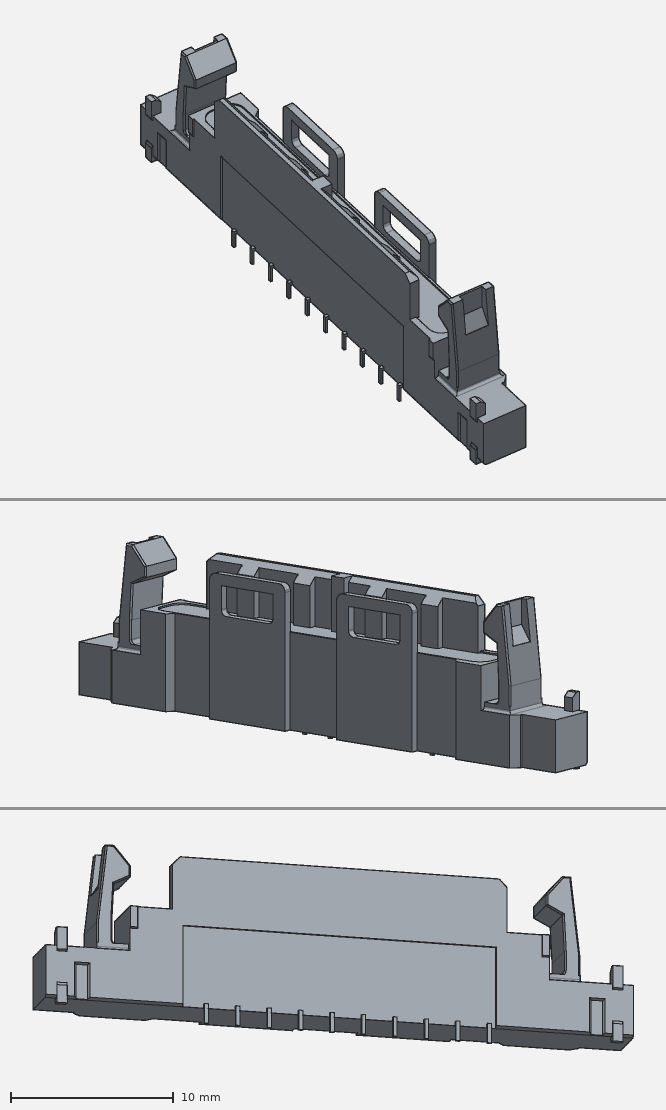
import cadquery as cq

half_length = 18.67
front_y = -1.85
back_y = 1.95
proud_front_y = -1.95
base_height = 3.33
shoulder_height = 6.15
wall_top = 9.52
bottom_front_chamfer = 0.16

end_back_y = 1.3
middle_back_y = 1.47
wing_outer_x = 16.05
wing_inner_x = 11.0
wing_step = 0.13
wing_chamfer = 0.35
wing_inner_chamfer_width = 0.38

shoulder_half_length = 13.33
floor_half_length = 12.94
floor_front_y = -1.38
floor_back_y = 1.3
floor_radius = 0.92
floor_z = shoulder_height - 0.1

ear_width = 0.48
ear_bottom = 4.74
ear_chamfer = 0.08

wall_half_length = 10.63
wall_corner_chamfer = 0.5
wall_flat_back_y = -1.53
wall_back_y = -1.18
rib_back_y = -0.7
rib_width = 1.32
rib_centers = (-7.2, -2.81, 2.81, 7.2)
key_width = 0.98

panel_half_length = 9.95
panel_height = 5.16
panel_depth = 0.15

loop_centers = (-4.98, 4.98)
loop_width = 5.93
loop_top = 9.22
loop_front_y = 1.42
loop_outer_radius = 0.5
window_side_margin = 0.94
window_top_margin = 0.72
window_bottom = 6.6
window_radius = 0.4

latch_outer_x = 15.36
latch_front_y = -1.55
latch_back_y = 1.62
latch_top = 10.06
latch_bend_z = 5.06
latch_tip_outer_x = 14.78
latch_tip_inner_x = 14.25
hook_x = 13.2
hook_upper_z = 8.83
hook_lower_z = 8.13
neck_x = 14.25
neck_z = 7.6
arm_inner_x = 14.37
arm_inner_z = 5.3
trough_z = 3.8
trough_radius = 0.28
latch_edge_chamfer = 0.1
root_fillet = 0.2
pocket_front_y = -0.73
pocket_back_y = 0.96
pocket_floor_x = 14.4
pocket_edge_x = 15.06
pocket_bend_z = 8.44
pocket_bottom_z = 7.43

peg_center_x = 17.66
peg_width = 0.64
upper_peg_top = 4.49
upper_peg_bottom = 2.98
upper_peg_back_y = -1.24
upper_peg_chamfer = 0.1
upper_peg_bevel_width = 0.36
upper_peg_bevel_height = 0.29
lower_peg_top = 0.98
lower_peg_bottom = -0.33
lower_peg_back_y = -1.38
lower_peg_bevel = 0.19
slot_center_x = 16.36
slot_width = 0.97
slot_height = 2.35
slot_depth = 0.12
slot_taper_angle = 45
pin_count = 10
pin_pitch = 2.0
first_pin_x = -8.5
pin_width = 0.25
pin_thickness = 0.15
pin_top = 0.24
pin_bottom = -1.0
pin_root_y = -1.5


def block(x_min, x_max, y_min, y_max, z_min, z_max):
    """Box given by its limits along each axis."""
    size = (x_max - x_min, y_max - y_min, z_max - z_min)
    return cq.Workplane("XY").box(*size, centered=False).translate((x_min, y_min, z_min))


def prism_along_x(points, x_center, width):
    """Closed (y, z) profile extruded along X about a centre plane."""
    return cq.Workplane("YZ", origin=(x_center, 0, 0)).polyline(points).close().extrude(width / 2, both=True)


def with_mirror(shape):
    """Shape together with its mirror image across X = 0."""
    return shape.union(shape.mirror("YZ"))


def plan_half():
    """Plan outline of the -X half of the base, back edge stepping out into a wing."""
    return [
        (0, front_y),
        (-half_length, front_y),
        (-half_length, end_back_y),
        (-wing_outer_x, end_back_y),
        (-wing_outer_x, middle_back_y),
        (-wing_outer_x + wing_step, back_y - wing_chamfer),
        (-wing_outer_x + wing_step + wing_chamfer, back_y),
        (-wing_inner_x - wing_inner_chamfer_width, back_y),
        (-wing_inner_x, middle_back_y),
        (0, middle_back_y),
    ]


def make_housing():
    """Base with wings, shoulder block and filleted latch feet."""
    half = cq.Workplane("XY").polyline(plan_half()).close().extrude(shoulder_height)
    half = half.faces("<Y").edges("<Z").chamfer(bottom_front_chamfer)
    half = half.cut(
        block(-half_length, -shoulder_half_length, front_y, back_y, base_height, shoulder_height)
    )
    half = half.union(make_latch_root())
    root_edges = cq.selectors.BoxSelector(
        (-latch_outer_x - root_fillet, latch_front_y - root_fillet, base_height - root_fillet),
        (-shoulder_half_length - root_fillet, latch_back_y + root_fillet, base_height + root_fillet / 2),
    )
    half = half.edges(root_edges).edges("#Z").fillet(root_fillet)
    return with_mirror(half)


def make_latch_root():
    """Solid foot joining the latch arm, the base and the shoulder."""
    return block(
        -latch_outer_x, -shoulder_half_length, latch_front_y, latch_back_y, base_height, trough_z
    )


def make_floor_recess():
    """Shallow round-cornered recess in the shoulder top."""
    floor = block(
        -floor_half_length, floor_half_length, floor_front_y, floor_back_y, floor_z, shoulder_height
    )
    return floor.edges("|Z").fillet(floor_radius)


def make_ears():
    """Thin pads standing proud of the front face at the shoulder corners."""
    inner_x = -shoulder_half_length + ear_width
    ear = block(-shoulder_half_length, inner_x, proud_front_y, front_y, ear_bottom, shoulder_height)
    ear = ear.faces("<Y").edges("<Z").chamfer(ear_chamfer)
    return with_mirror(ear)


def bevelled_wall(x_center, width, inner_y):
    """Upright slab whose back top edge falls away at 45 degrees to the given inner face."""
    profile = [
        (front_y, floor_z),
        (front_y, wall_top),
        (wall_flat_back_y, wall_top),
        (inner_y, wall_top - (inner_y - wall_flat_back_y)),
        (inner_y, floor_z),
    ]
    return prism_along_x(profile, x_center, width)


def make_front_wall():
    """Tall front wall with bevelled ribs and a flat-topped key on its inner side."""
    wall = bevelled_wall(0, 2 * wall_half_length, wall_back_y)
    corners = (
        cq.Workplane("XZ")
        .rect(2 * wall_half_length, 2 * wall_top)
        .extrude(2 * half_length, both=True)
        .edges("|Y and >Z")
        .chamfer(wall_corner_chamfer)
    )
    wall = wall.intersect(corners)
    for rib_center in rib_centers:
        wall = wall.union(bevelled_wall(rib_center, rib_width, rib_back_y))
    key = block(
        -key_width / 2, key_width / 2, front_y, rib_back_y, floor_z, wall_top
    )
    return wall.union(key)


def make_panel_recess():
    """Shallow rectangular recess in the front face, open at the bottom."""
    return block(
        -panel_half_length, panel_half_length, front_y, front_y + panel_depth, 0, panel_height
    )


def make_loop(x_center):
    """Flat pull loop standing behind the shoulder, its window well above shoulder height."""
    half_width = loop_width / 2
    half_window = half_width - window_side_margin
    plate = block(-half_width, half_width, loop_front_y, back_y, 0, loop_top)
    plate = plate.edges("|Y and >Z").fillet(loop_outer_radius)
    window = block(
        -half_window, half_window, loop_front_y, back_y, window_bottom, loop_top - window_top_margin
    )
    window = window.edges("|Y and <Z").fillet(window_radius)
    return plate.cut(window).translate((x_center, 0, 0))


def make_latches():
    """Leaning latch arms with inward hooks and a thumb pocket in the outer face."""
    arm = (
        cq.Workplane("XZ", origin=(0, latch_back_y, 0))
        .moveTo(-latch_outer_x, trough_z - root_fillet)
        .lineTo(-latch_outer_x, latch_bend_z)
        .lineTo(-latch_tip_outer_x, latch_top)
        .lineTo(-latch_tip_inner_x, latch_top)
        .lineTo(-hook_x, hook_upper_z)
        .lineTo(-hook_x, hook_lower_z)
        .lineTo(-neck_x, neck_z)
        .lineTo(-arm_inner_x, arm_inner_z)
        .lineTo(-arm_inner_x, trough_z + trough_radius)
        .radiusArc((-arm_inner_x + trough_radius, trough_z), -trough_radius)
        .lineTo(-arm_inner_x + trough_radius, trough_z - root_fillet)
        .close()
        .extrude(latch_back_y - latch_front_y)
    )
    arm_edges = cq.selectors.BoxSelector(
        (-half_length, proud_front_y, trough_z),
        (-wall_half_length, back_y, latch_top + latch_edge_chamfer),
    )
    arm = arm.faces("|Y").edges(arm_edges).edges("#Y").chamfer(latch_edge_chamfer)
    pocket = (
        cq.Workplane("XZ", origin=(0, pocket_back_y, 0))
        .moveTo(-pocket_floor_x, latch_top)
        .lineTo(-pocket_floor_x, pocket_bend_z)
        .lineTo(-pocket_edge_x, pocket_bottom_z)
        .lineTo(-latch_outer_x, pocket_bottom_z)
        .lineTo(-latch_outer_x, latch_top)
        .close()
        .extrude(pocket_back_y - pocket_front_y)
    )
    return with_mirror(arm.cut(pocket))


def make_pegs():
    """Upper and lower retaining pegs gripping the front edge at each end."""
    upper_profile = [
        (proud_front_y, upper_peg_bottom + upper_peg_chamfer),
        (proud_front_y, upper_peg_top),
        (upper_peg_back_y - upper_peg_bevel_width, upper_peg_top),
        (upper_peg_back_y, upper_peg_top - upper_peg_bevel_height),
        (upper_peg_back_y, upper_peg_bottom),
        (front_y, upper_peg_bottom),
    ]
    lower_profile = [
        (front_y, lower_peg_top),
        (proud_front_y, lower_peg_top - lower_peg_bevel),
        (proud_front_y, lower_peg_bottom),
        (lower_peg_back_y - lower_peg_bevel, lower_peg_bottom),
        (lower_peg_back_y, lower_peg_bottom + lower_peg_bevel),
        (lower_peg_back_y, lower_peg_top),
    ]
    upper = prism_along_x(upper_profile, -peg_center_x, peg_width)
    lower = prism_along_x(lower_profile, -peg_center_x, peg_width)
    return with_mirror(upper.union(lower))


def make_end_slots():
    """Shallow slots with sloping sides, open at the bottom of the front face."""
    slot = (
        cq.Workplane("XZ", origin=(-slot_center_x, front_y, 0))
        .rect(slot_width, 2 * slot_height)
        .extrude(-slot_depth, taper=slot_taper_angle)
    )
    return with_mirror(slot)


def make_pins():
    """Row of contact tails hanging below the front edge, each rooted in the housing."""
    pins = cq.Workplane("XY")
    for index in range(pin_count):
        x_min = first_pin_x + index * pin_pitch - pin_width / 2
        x_max = x_min + pin_width
        tail_back_y = proud_front_y + pin_thickness
        pins = pins.union(block(x_min, x_max, proud_front_y, tail_back_y, pin_bottom, pin_top))
        pins = pins.union(block(x_min, x_max, proud_front_y, pin_root_y, 0, pin_top))
    return pins


result = make_housing()
result = result.cut(make_floor_recess())
result = result.union(make_front_wall())
result = result.cut(make_panel_recess())
result = result.cut(make_end_slots())
result = result.union(make_ears())
result = result.union(make_latches())
for loop_center in loop_centers:
    result = result.union(make_loop(loop_center))
result = result.union(make_pegs())
result = result.union(make_pins())